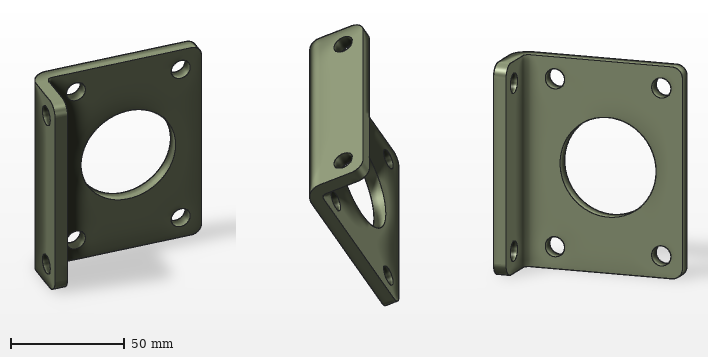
import cadquery as cq

width = 30.0
depth = 80.0
height = 96.0
thickness = 6.0

inner_bend_radius = 2.5
outer_bend_radius = inner_bend_radius + thickness

short_flange_corner_radius = 6.0
long_flange_corner_radius = 5.0

bolt_diameter = 9.0
bolt_edge_distance = 10.0
bolt_spacing_y = 50.0
bore_diameter = 45.1

bolt_spacing_z = height - 2 * bolt_edge_distance
bolt_row_y = depth - bolt_edge_distance - bolt_spacing_y / 2
short_flange_bolt_x = width - bolt_edge_distance


def bent_plate():
    """L-shaped plate standing on Z = 0, with its outer bend at the origin."""
    plate = (
        cq.Workplane("XY")
        .moveTo(0, 0)
        .lineTo(width, 0)
        .lineTo(width, thickness)
        .lineTo(thickness, thickness)
        .lineTo(thickness, depth)
        .lineTo(0, depth)
        .close()
        .extrude(height)
    )
    outer_edge = cq.selectors.NearestToPointSelector((0, 0, height / 2))
    inner_edge = cq.selectors.NearestToPointSelector((thickness, thickness, height / 2))
    plate = plate.edges(inner_edge).fillet(inner_bend_radius)
    return plate.edges(outer_edge).fillet(outer_bend_radius)


def round_free_corners(plate):
    """Round the top and bottom corners of both flanges."""
    plate = plate.faces(">X").edges("|Y").fillet(short_flange_corner_radius)
    return plate.faces(">Y").edges("|X").fillet(long_flange_corner_radius)


def long_flange_cutter():
    """Central bore and four bolt holes, running along X."""
    face = cq.Workplane("YZ", origin=(0, bolt_row_y, height / 2))
    bore = face.circle(bore_diameter / 2).extrude(thickness)
    bolts = (
        face.rarray(bolt_spacing_y, bolt_spacing_z, 2, 2)
        .circle(bolt_diameter / 2)
        .extrude(thickness)
    )
    return bore.union(bolts)


def short_flange_cutter():
    """Two bolt holes, running along Y."""
    return (
        cq.Workplane("XZ", origin=(short_flange_bolt_x, 0, height / 2))
        .rarray(1, bolt_spacing_z, 1, 2)
        .circle(bolt_diameter / 2)
        .extrude(-thickness)
    )


bracket = round_free_corners(bent_plate())
result = bracket.cut(long_flange_cutter()).cut(short_flange_cutter())